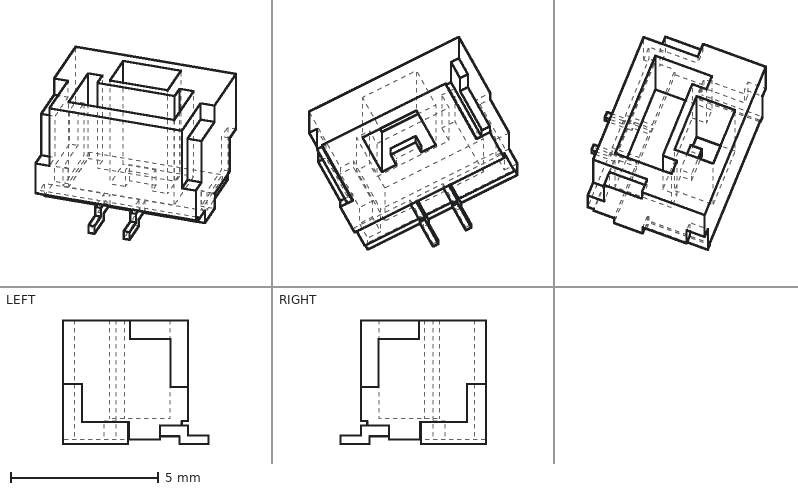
import cadquery as cq

width = 5.75
depth = 4.255
top = 4.2
housing_bottom = 0.15

front_lip_bottom = 0.78
front_lip_depth = 0.22
lead_seat_height = 0.64
lead_seat_depth = 0.955

notch_width = 0.5
notch_depth = 1.97
notch_drop = 0.64
notch_leg_depth = 0.6
notch_leg_drop = 2.255

pocket_width = 3.785
pocket_front = 0.615
pocket_back = 2.675
pocket_floor = 0.86
pocket_tongue_width = 2.77
pocket_tongue_depth = 0.52

window_width = 2.07
window_front = 2.45
window_back = 3.85
block_width = 0.96
block_depth = 0.41
block_top = front_lip_bottom

tab_recess_width = 0.3
tab_thickness = 0.195
tab_length = 2.215
tab_gap = 0.04
tab_leg_depth = 0.655
tab_height = 2.04
tab_foot_height = 0.74

lead_width = 0.21
lead_pitch = 1.26
lead_overhang = 0.695
lead_foot_length = 0.995
lead_foot_height = 0.3
lead_arm_bottom = 0.26


def box(x, y, z):
    """Box spanning the given (low, high) pairs."""
    size = (x[1] - x[0], y[1] - y[0], z[1] - z[0])
    return cq.Workplane("XY").box(*size, centered=False).translate((x[0], y[0], z[0]))


def centred_box(box_width, y, z):
    return box((-box_width / 2, box_width / 2), y, z)


def side_profile(points, x_start, thickness):
    """Extrude a (Y, Z) outline along +X."""
    return cq.Workplane("YZ", origin=(x_start, 0, 0)).polyline(points).close().extrude(thickness)


def both_sides(left):
    return left.union(left.mirror("YZ"))


def make_housing():
    outline = [
        (0, top),
        (depth, top),
        (depth, housing_bottom),
        (lead_seat_depth, housing_bottom),
        (lead_seat_depth, lead_seat_height),
        (front_lip_depth, lead_seat_height),
        (front_lip_depth, front_lip_bottom),
        (0, front_lip_bottom),
    ]
    return side_profile(outline, -width / 2, width)


def make_corner_notches():
    outline = [
        (0, top),
        (notch_depth, top),
        (notch_depth, top - notch_drop),
        (notch_leg_depth, top - notch_drop),
        (notch_leg_depth, top - notch_leg_drop),
        (0, top - notch_leg_drop),
    ]
    return both_sides(side_profile(outline, -width / 2, notch_width))


def make_pocket():
    pocket = centred_box(pocket_width, (pocket_front, pocket_back), (pocket_floor, top))
    tongue_front = pocket_back - pocket_tongue_depth
    tongue = centred_box(pocket_tongue_width, (tongue_front, pocket_back), (pocket_floor, top))
    return pocket.cut(tongue)


def make_window():
    window = centred_box(window_width, (window_front, window_back), (housing_bottom, top))
    block_y = (window_front, window_front + block_depth)
    return window.cut(centred_box(block_width, block_y, (housing_bottom, block_top)))


def rear_l_profile(length, bottom):
    """L outline with its foot along the bottom and its leg up the rear face."""
    return [
        (depth, bottom),
        (depth, tab_height),
        (depth - tab_leg_depth, tab_height),
        (depth - tab_leg_depth, tab_foot_height),
        (depth - length, tab_foot_height),
        (depth - length, bottom),
    ]


def make_tab_recesses():
    profile = rear_l_profile(tab_length + tab_gap, housing_bottom)
    return both_sides(side_profile(profile, -width / 2, tab_recess_width + tab_thickness))


def make_solder_tabs():
    profile = rear_l_profile(tab_length, 0)
    return both_sides(side_profile(profile, -width / 2 + tab_recess_width, tab_thickness))


def make_lead(x_centre):
    foot_end = lead_foot_length - lead_overhang
    outline = [
        (lead_seat_depth, lead_seat_height),
        (0, lead_seat_height),
        (0, lead_foot_height),
        (-lead_overhang, lead_foot_height),
        (-lead_overhang, 0),
        (foot_end, 0),
        (foot_end, lead_arm_bottom),
        (lead_seat_depth, lead_arm_bottom),
    ]
    return side_profile(outline, x_centre - lead_width / 2, lead_width)


result = make_housing()
for cutter in (make_corner_notches(), make_pocket(), make_window(), make_tab_recesses()):
    result = result.cut(cutter)

result = result.union(make_solder_tabs())
for side in (-1, 1):
    result = result.union(make_lead(side * lead_pitch / 2))